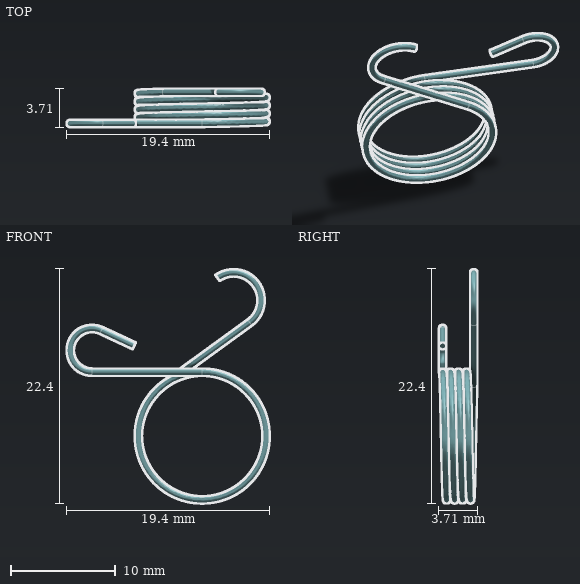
import cadquery as cq
import math

overall_height = 22.4
wire_diameter = 0.75
coil_radius = 6.1
coil_pitch = 0.76
full_turns = 3

front_leg_length = 10.5
front_hook_radius = 2.08
front_hook_sweep = 205
front_tail_length = 3.47

rear_leg_angle = 36
rear_hook_radius = 2.62
rear_hook_sweep = 180

turns = full_turns + (360 - rear_leg_angle) / 360
coil_length = turns * coil_pitch


def polar(center, radius, angle):
    """Point in the XZ plane at an angle in degrees from +X towards +Z."""
    return (
        center[0] + radius * math.cos(math.radians(angle)),
        center[1] + radius * math.sin(math.radians(angle)),
    )


def leg_plane(y):
    return cq.Workplane("XZ", origin=(0, y, 0))


def sweep_wire(path, start, y, direction):
    """Round wire along a planar path; direction is the starting angle in XZ."""
    dir_x, dir_z = polar((0, 0), 1, direction)
    section_plane = cq.Plane(
        origin=(start[0], y, start[1]), xDir=(0, 1, 0), normal=(dir_x, 0, dir_z)
    )
    return cq.Workplane(section_plane).circle(wire_diameter / 2).sweep(path)


def make_coil():
    helix = cq.Wire.makeHelix(coil_pitch, coil_length, coil_radius)
    section = cq.Workplane("XZ").center(coil_radius, 0).circle(wire_diameter / 2)
    coil = section.sweep(cq.Workplane(obj=helix), isFrenet=True).val()
    spring_plane = cq.Plane(origin=(0, 0, 0), xDir=(0, 0, 1), normal=(0, 1, 0))
    return cq.Workplane(obj=coil.moved(cq.Location(spring_plane)))


def make_front_leg():
    start = (0, coil_radius)
    hook_start = (-front_leg_length, coil_radius)
    hook_center = (-front_leg_length, coil_radius + front_hook_radius)
    hook_end_angle = 270 - front_hook_sweep
    hook_middle = polar(hook_center, front_hook_radius, 270 - front_hook_sweep / 2)
    hook_end = polar(hook_center, front_hook_radius, hook_end_angle)
    tail_end = polar(hook_end, front_tail_length, hook_end_angle - 90)
    path = (
        leg_plane(0)
        .moveTo(*start)
        .lineTo(*hook_start)
        .threePointArc(hook_middle, hook_end)
        .lineTo(*tail_end)
    )
    return sweep_wire(path, start, 0, 180)


def make_rear_leg():
    start = polar((0, 0), coil_radius, 90 + rear_leg_angle)
    hook_center_z = overall_height - wire_diameter - coil_radius - rear_hook_radius
    center_rise = rear_hook_radius * math.cos(math.radians(rear_leg_angle))
    leg_rise = hook_center_z - center_rise - start[1]
    leg_length = leg_rise / math.sin(math.radians(rear_leg_angle))
    hook_start = polar(start, leg_length, rear_leg_angle)
    hook_center = polar(hook_start, rear_hook_radius, rear_leg_angle + 90)
    hook_start_angle = rear_leg_angle - 90
    hook_middle = polar(hook_center, rear_hook_radius, hook_start_angle + rear_hook_sweep / 2)
    hook_end = polar(hook_center, rear_hook_radius, hook_start_angle + rear_hook_sweep)
    path = (
        leg_plane(coil_length)
        .moveTo(*start)
        .lineTo(*hook_start)
        .threePointArc(hook_middle, hook_end)
    )
    return sweep_wire(path, start, coil_length, rear_leg_angle)


result = make_coil().union(make_front_leg()).union(make_rear_leg())